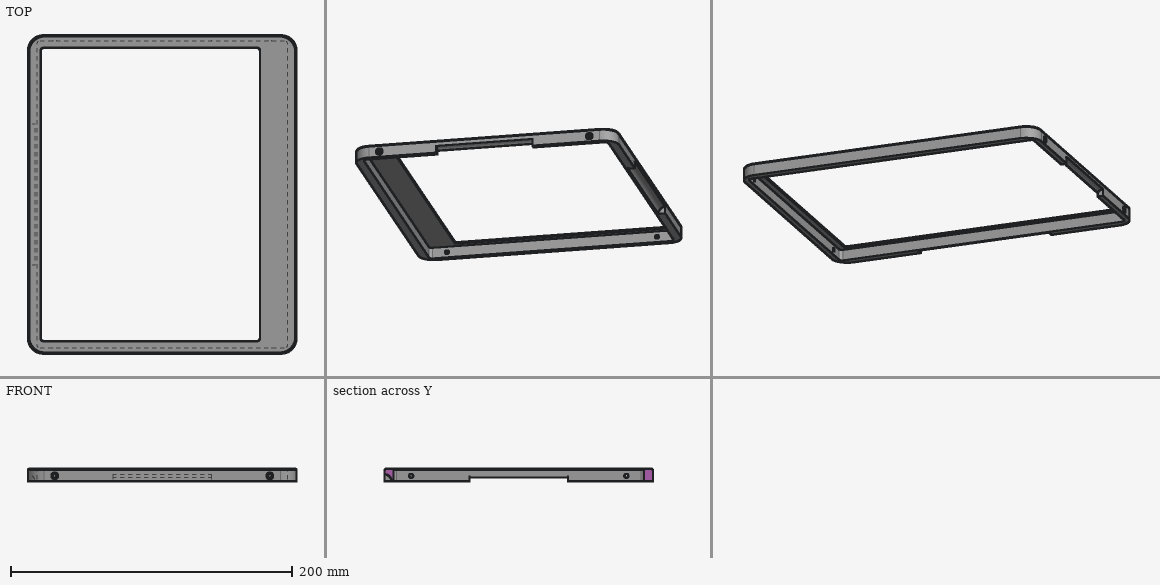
import cadquery as cq

frame_width = 191.16
frame_length = 226.66
frame_height = 9.2
corner_radius = 11.5
rim_chamfer = 1.0

plate_thickness = 1.2
left_border = 9.2
right_border = 26.2
end_border = 9.1
window_corner_radius = 2.0

side_wall = 6.5
end_wall = 4.2
pocket_corner_radius = 2.0

scoop_radius = 5.0
left_scoop_length = 100.0
back_scoop_length = 70.0

screw_diameter = 2.6
screw_head_diameter = 4.6
countersink_angle = 90.0
screw_spacing = 153.0
screw_height = 4.0

half_width = frame_width / 2
half_length = frame_length / 2


def make_body():
    """Rounded rectangular block with a chamfered top rim, resting on Z = 0."""
    block = cq.Workplane("XY").rect(frame_width, frame_length).extrude(frame_height)
    return block.edges("|Z").fillet(corner_radius).faces(">Z").edges().chamfer(rim_chamfer)


def make_window():
    """Opening through the full height, offset towards -X."""
    width = frame_width - left_border - right_border
    length = frame_length - 2 * end_border
    center_x = (left_border - right_border) / 2
    opening = cq.Workplane("XY").center(center_x, 0).rect(width, length).extrude(frame_height)
    return opening.edges("|Z").fillet(window_corner_radius)


def make_pocket():
    """Recess from below that leaves the top plate and the four walls."""
    width = frame_width - 2 * side_wall
    length = frame_length - 2 * end_wall
    depth = frame_height - plate_thickness
    recess = cq.Workplane("XY").rect(width, length).extrude(depth)
    return recess.edges("|Z").fillet(pocket_corner_radius)


def make_left_scoop():
    """Cylinder lying on the bottom edge of the -X side."""
    plane = cq.Workplane("XZ", origin=(-half_width, left_scoop_length / 2, 0))
    return plane.circle(scoop_radius).extrude(left_scoop_length)


def make_back_scoop():
    """Cylinder lying on the bottom edge of the +Y side."""
    plane = cq.Workplane("YZ", origin=(-back_scoop_length / 2, half_length, 0))
    return plane.circle(scoop_radius).extrude(back_scoop_length)


def add_screw_holes(body, face):
    """Pair of countersunk holes through the end wall that owns the given face."""
    plane = body.faces(face).workplane(origin=(0, 0, screw_height))
    points = plane.pushPoints([(-screw_spacing / 2, 0), (screw_spacing / 2, 0)])
    return points.cskHole(screw_diameter, screw_head_diameter, countersink_angle, depth=2 * end_wall)


result = make_body().cut(make_window()).cut(make_pocket())
for end_face in ("<Y", ">Y"):
    result = add_screw_holes(result, end_face)
result = result.cut(make_left_scoop()).cut(make_back_scoop())